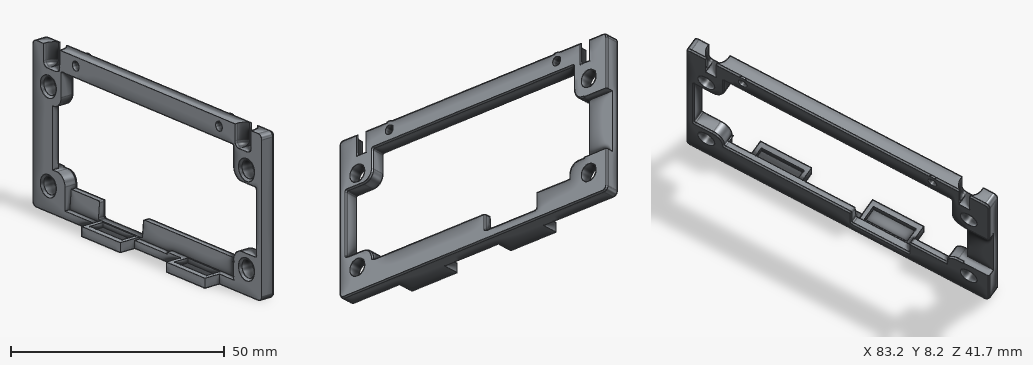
import cadquery as cq
import math


length = 83.2
height = 41.7
thickness = 3.8
corner_radius = 1.25
bevel_depth = 0.5
bevel_inset = 0.25
bevel_angle = math.degrees(math.atan(bevel_inset / bevel_depth))
clearance = 0.8
mirror_x = length / 2

window_left = 7.15
window_right = 81.2
rail_bottom = 36.4
left_top_block = (10.2, 26.95)
left_bottom_block = (11.65, 11.0)
right_top_block = (2 * mirror_x - left_top_block[0], 28.0)
right_bottom_block = (right_top_block[0], 10.5)
block_radius = 3.0
small_radius = 0.4

wall_top = 7.0
wall_draft = 5.0
wall_base_y = 1.5
low_ledge = 2.0
high_ledge = 2.5
ledge_step_x = 48.7
gap_left = 21.95
gap_right = 37.9

channel_y = 1.75

mount_x = 5.6
mount_levels = (6.5, 31.35)
mount_diameter = 4.6
countersink_diameter = 5.7

pin_x = 15.55
pin_diameter = 2.4
pin_boss_diameter = 4.6
pin_z = height - pin_boss_diameter / 2

slot_x = 6.8
slot_width = 2.9
slot_floor = 35.9
pocket_width = 5.8
pocket_axis_y = 0.75
pocket_fillet = 1.4

tab_length = 14.05
tab_reach = 4.4
tab_starts = (22.95, 53.7)
tab_end_wall = 1.2
tab_front_wall = 1.5
tab_pocket_width = 4.1
tab_pocket_depth = 1.25


def mirrored(x):
    """Both X places of a feature that is mirrored about mirror_x."""
    return (x, 2 * mirror_x - x)


def plane_at(y):
    """Sketch plane parallel to the plate, X right and Z up; negative extrusions go toward +Y."""
    return cq.Workplane(cq.Plane(origin=(0, y, 0), xDir=(1, 0, 0), normal=(0, -1, 0)))


def box(x0, x1, y0, y1, z0, z1):
    return cq.Workplane("XY").box(x1 - x0, y1 - y0, z1 - z0, centered=False).translate((x0, y0, z0))


def rod(x, z, diameter, y0, y1):
    """Round bar along Y."""
    return plane_at(y0).center(x, z).circle(diameter / 2).extrude(y0 - y1)


def toward(start, end):
    span = math.dist(start, end)
    return ((end[0] - start[0]) / span, (end[1] - start[1]) / span)


def rounded_outline(workplane, corners):
    """Closed outline of square corners (x, z, radius); a zero radius leaves the corner sharp."""
    bulge = 1 - math.sqrt(0.5)
    for i, (x, z, radius) in enumerate(corners):
        back = toward((x, z), corners[i - 1][:2])
        ahead = toward((x, z), corners[(i + 1) % len(corners)][:2])
        start = (x + radius * back[0], z + radius * back[1])
        workplane = workplane.moveTo(*start) if i == 0 else workplane.lineTo(*start)
        if radius:
            middle = (x + bulge * radius * (back[0] + ahead[0]), z + bulge * radius * (back[1] + ahead[1]))
            end = (x + radius * ahead[0], z + radius * ahead[1])
            workplane = workplane.threePointArc(middle, end)
    return workplane.close()


def make_plate():
    corners = [
        (0, 0, corner_radius),
        (length, 0, corner_radius),
        (length, height, corner_radius),
        (0, height, corner_radius),
    ]
    bevel_start = thickness - bevel_depth
    plate = rounded_outline(plane_at(0), corners).extrude(-bevel_start)
    bevel = rounded_outline(plane_at(bevel_start), corners).extrude(-bevel_depth, taper=bevel_angle)
    return plate.union(bevel)


def make_window():
    corners = [
        (window_left, left_top_block[1], 0),
        (*left_top_block, block_radius),
        (left_top_block[0], rail_bottom, small_radius),
        (right_top_block[0], rail_bottom, small_radius),
        (*right_top_block, block_radius),
        (window_right, right_top_block[1], small_radius),
        (window_right, right_bottom_block[1], small_radius),
        (*right_bottom_block, block_radius),
        (right_bottom_block[0], wall_top, small_radius),
        (gap_right, wall_top, small_radius),
        (gap_right, high_ledge, small_radius),
        (gap_left, high_ledge, small_radius),
        (gap_left, wall_top, small_radius),
        (left_bottom_block[0], wall_top, 0),
        (*left_bottom_block, block_radius),
        (window_left, left_bottom_block[1], 0),
    ]
    bevel_start = thickness - bevel_depth
    window = rounded_outline(plane_at(0), corners).extrude(-thickness)
    bevel = rounded_outline(plane_at(bevel_start), corners).extrude(-bevel_depth, taper=-bevel_angle)
    return window.union(bevel)


def make_wall_recess():
    """Space in front of the drafted wall, down to the stepped ledge."""
    left = left_bottom_block[0]
    right = right_bottom_block[0]
    draft_slope = math.tan(math.radians(wall_draft))

    def wall_y(z):
        return wall_base_y + (z - low_ledge) * draft_slope

    recess = (
        cq.Workplane("YZ", origin=(left, 0, 0))
        .polyline([
            (-clearance, low_ledge),
            (wall_y(low_ledge), low_ledge),
            (wall_y(wall_top), wall_top),
            (-clearance, wall_top),
        ])
        .close()
        .extrude(right - left)
    )
    step = box(ledge_step_x, right, -clearance, thickness, low_ledge, high_ledge)
    return recess.cut(step)


def make_slot(x):
    """Narrow through slot with a wider round-backed pocket in front, filleted at its floor."""
    top = height + clearance
    slot = box(x - slot_width / 2, x + slot_width / 2, 0, thickness, slot_floor, top)
    radius = pocket_width / 2
    pocket = (
        cq.Workplane("XY", origin=(x, 0, slot_floor))
        .moveTo(-radius, -pocket_width)
        .lineTo(-radius, pocket_axis_y)
        .threePointArc((0, pocket_axis_y + radius), (radius, pocket_axis_y))
        .lineTo(radius, -pocket_width)
        .close()
        .extrude(top - slot_floor)
        .faces("<Z")
        .edges("not <Y")
        .fillet(pocket_fillet)
    )
    return slot.union(pocket)


def make_mount_hole(x, z):
    depth = (countersink_diameter - mount_diameter) / 2
    countersink = (
        plane_at(0).center(x, z).circle(countersink_diameter / 2)
        .workplane(offset=-depth).circle(mount_diameter / 2)
        .loft()
    )
    return rod(x, z, mount_diameter, 0, thickness).union(countersink)


def make_tab(x):
    return box(x, x + tab_length, -tab_reach, wall_base_y, 0, high_ledge)


def make_tab_pocket(x):
    front = tab_front_wall - tab_reach
    return box(
        x + tab_end_wall,
        x + tab_length - tab_end_wall,
        front,
        front + tab_pocket_width,
        high_ledge - tab_pocket_depth,
        high_ledge + clearance,
    )


result = make_plate().cut(make_window())
result = result.cut(
    box(-clearance, window_left + clearance, channel_y, thickness, left_bottom_block[1], left_top_block[1])
)
result = result.cut(make_wall_recess())

for tab_x in tab_starts:
    result = result.union(make_tab(tab_x)).cut(make_tab_pocket(tab_x))

for hole_x in mirrored(pin_x):
    result = result.union(rod(hole_x, pin_z, pin_boss_diameter, 0, thickness))
    result = result.cut(rod(hole_x, pin_z, pin_diameter, 0, thickness))

for hole_x in mirrored(mount_x):
    for hole_z in mount_levels:
        result = result.cut(make_mount_hole(hole_x, hole_z))
for center_x in mirrored(slot_x):
    result = result.cut(make_slot(center_x))